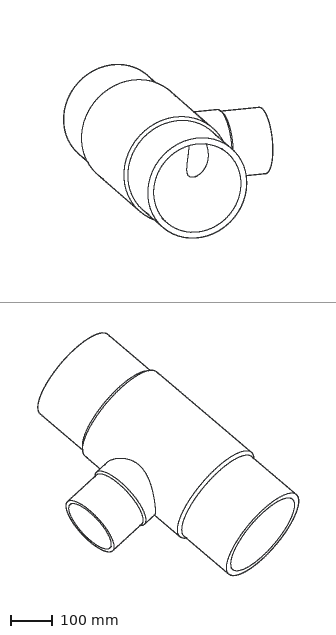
import cadquery as cq

run_length = 625.0
run_diameter = 250.0
run_bore = 220.4
run_sleeve_diameter = 264.8
run_sleeve_length = 329.0

branch_reach = 270.0
branch_diameter = 160.0
branch_bore = 141.0
branch_sleeve_diameter = 169.5
branch_sleeve_reach = 170.0

run_bevel = (run_sleeve_diameter - run_diameter) / 2
branch_bevel = (branch_sleeve_diameter - branch_diameter) / 2


def run_cylinder(diameter, length):
    """Cylinder along X, centred on the origin."""
    return cq.Workplane("YZ").circle(diameter / 2).extrude(length / 2, both=True)


def branch_cylinder(diameter, reach):
    """Cylinder from the run axis out along +Y."""
    return cq.Workplane("XZ").circle(diameter / 2).extrude(-reach)


def run_body():
    sleeve = run_cylinder(run_sleeve_diameter, run_sleeve_length)
    sleeve = sleeve.faces("<X or >X").chamfer(run_bevel)
    return run_cylinder(run_diameter, run_length).union(sleeve)


def branch_body():
    sleeve = branch_cylinder(branch_sleeve_diameter, branch_sleeve_reach)
    sleeve = sleeve.faces(">Y").chamfer(branch_bevel)
    return branch_cylinder(branch_diameter, branch_reach).union(sleeve)


result = (
    run_body()
    .union(branch_body())
    .cut(run_cylinder(run_bore, run_length))
    .cut(branch_cylinder(branch_bore, branch_reach))
)